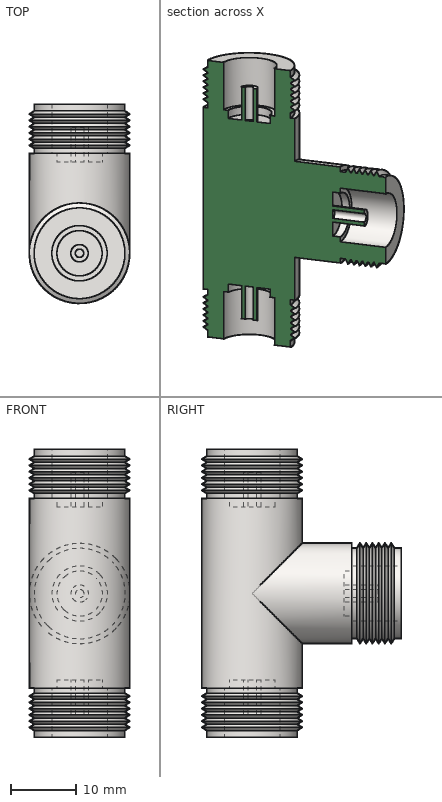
import cadquery as cq

run_length = 44.1
overall_depth = 30.5
body_radius = 15.4 / 2
arm_reach = overall_depth - body_radius

neck_radius = 13.9 / 2
tip_length = 1.05
thread_length = 5.75
relief_length = 0.75
ridge_count = 6
ridge_pitch = thread_length / ridge_count
neck_length = tip_length + thread_length + relief_length

bore_radius = 8.45 / 2
bore_depth = neck_length
inner_bore_radius = 6.92 / 2
inner_bore_depth = 8.8
contact_radius = 2.65 / 2
contact_recess = 3.55
contact_length = inner_bore_depth - contact_recess
contact_hole_radius = 1.3 / 2


def threaded_end(reach):
    """Revolve one branch about +Z, from the origin to its end face at z = reach."""
    shoulder = reach - neck_length
    thread_start = shoulder + relief_length
    profile = (
        cq.Workplane("XZ")
        .moveTo(0, 0)
        .lineTo(body_radius, 0)
        .lineTo(body_radius, shoulder)
        .lineTo(neck_radius, shoulder)
        .lineTo(neck_radius, thread_start)
    )
    for ridge in range(ridge_count):
        root = thread_start + ridge * ridge_pitch
        profile = profile.lineTo(body_radius, root + ridge_pitch / 2)
        profile = profile.lineTo(neck_radius, root + ridge_pitch)
    profile = profile.lineTo(neck_radius, reach).lineTo(0, reach).close()
    return profile.revolve(360, (0, 0, 0), (0, 1, 0))


def socket_cavity(reach):
    """Space to remove from an end at z = reach, leaving the hollow contact standing."""
    floor = reach - inner_bore_depth
    bore = (
        cq.Workplane("XY")
        .workplane(offset=reach - bore_depth)
        .circle(bore_radius)
        .extrude(bore_depth)
    )
    inner_bore = (
        cq.Workplane("XY")
        .workplane(offset=floor)
        .circle(inner_bore_radius)
        .extrude(inner_bore_depth)
    )
    contact = (
        cq.Workplane("XY")
        .workplane(offset=floor)
        .circle(contact_radius)
        .circle(contact_hole_radius)
        .extrude(contact_length)
    )
    return bore.union(inner_bore).cut(contact)


def turn_about_x(shape, angle):
    """Swing a +Z branch around the X axis: -90 points it to +Y, 180 to -Z."""
    return shape.rotate((0, 0, 0), (1, 0, 0), angle)


branches = [(run_length / 2, 0), (run_length / 2, 180), (arm_reach, -90)]

result = cq.Workplane("XY")
for branch_reach, branch_angle in branches:
    result = result.union(turn_about_x(threaded_end(branch_reach), branch_angle))
for branch_reach, branch_angle in branches:
    result = result.cut(turn_about_x(socket_cavity(branch_reach), branch_angle))